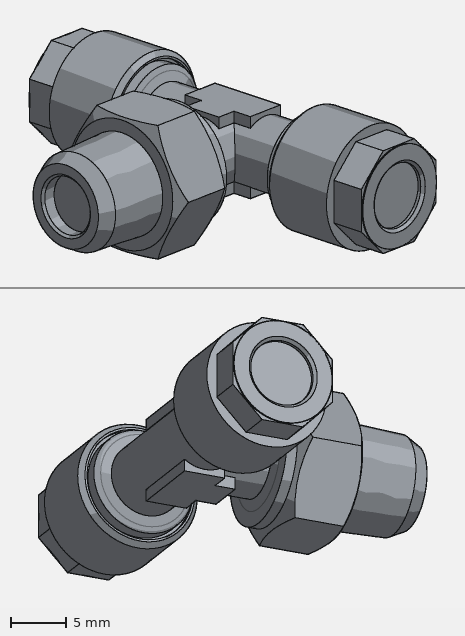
import cadquery as cq
import math

shoulder_angle = math.radians(15)

half_length = 20.6
pipe_radius = 3.5
nut_body_radius = 6.0
nut_body_inner_x = 9.6
nut_body_outer_x = 17.1
nut_body_chamfer = 0.5
nut_recess_radius = 5.3
nut_recess_depth = 0.5
nut_recess_floor_x = nut_body_inner_x + nut_recess_depth
collar_radius = 5.0
collar_inner_x = 8.3
collar_rounding = 1.2
collar_edge_angle = math.radians(45)
octagon_sides = 8
octagon_flats = 10.0
end_disc_radius = 4.95
end_disc_thickness = 0.12
tube_bore_radius = 3.15
tube_bore_depth = 0.6
tube_bore_chamfer = 0.3

pad_half_length = 4.05
pad_half_width = 2.0
pad_height = 4.0

stud_tip_y = -22.37
flange_radius = nut_body_radius
flange_face_y = -7.35
flange_shoulder_radius = 4.57
hexagon_sides = 6
hexagon_flats = 13.0
hexagon_back_y = -8.35
hexagon_front_y = -14.85
hexagon_front_circle_radius = 6.25
hexagon_chamfer_slope = math.tan(math.radians(30))
stud_root_radius = 5.03
stud_end_radius = 4.78
stud_tip_radius = 4.05
stud_chamfer_length = 1.5
stud_bore_radius = 2.8
stud_bore_depth = 1.5
stud_bore_chamfer = 0.25


def corner_diameter(flats, sides):
    """Across-corners size of a regular polygon with an even number of sides."""
    return flats / math.cos(math.pi / sides)


def turned_along_x(profile):
    """Solid of revolution about X from (x, radius) points."""
    return cq.Workplane("XY").polyline(profile).close().revolve(360, (0, 0), (1, 0))


def turned_along_y(profile):
    """Solid of revolution about Y from (radius, y) points."""
    return cq.Workplane("XY").polyline(profile).close().revolve(360, (0, 0), (0, 1))


def run_pipe():
    """Straight pipe joining the two collars."""
    return cq.Workplane("YZ").circle(pipe_radius).extrude(collar_inner_x, both=True)


def collar():
    """Collar on the +X end of the pipe: shallow cone, rounded edge, then a cylinder."""
    rounding_center_radius = collar_radius - collar_rounding * math.sin(collar_edge_angle)
    cone_end_radius = rounding_center_radius + collar_rounding * math.sin(shoulder_angle)
    cone_end_x = collar_inner_x + (cone_end_radius - pipe_radius) * math.tan(shoulder_angle)
    rounding_center_x = cone_end_x + collar_rounding * math.cos(shoulder_angle)

    def on_rounding(angle):
        return (
            rounding_center_x - collar_rounding * math.cos(angle),
            rounding_center_radius + collar_rounding * math.sin(angle),
        )

    middle_angle = (shoulder_angle + collar_edge_angle) / 2
    return (
        cq.Workplane("XY")
        .moveTo(collar_inner_x, 0)
        .lineTo(collar_inner_x, pipe_radius)
        .lineTo(cone_end_x, cone_end_radius)
        .threePointArc(on_rounding(middle_angle), on_rounding(collar_edge_angle))
        .lineTo(nut_recess_floor_x, collar_radius)
        .lineTo(nut_recess_floor_x, 0)
        .close()
        .revolve(360, (0, 0), (1, 0))
    )


def union_nut():
    """Nut on the +X end: chamfered body recessed around the collar, octagon, end disc and tube bore."""
    octagon_end_x = half_length - end_disc_thickness
    turned = turned_along_x([
        (nut_recess_floor_x, 0),
        (nut_recess_floor_x, nut_recess_radius),
        (nut_body_inner_x, nut_recess_radius),
        (nut_body_inner_x, nut_body_radius - nut_body_chamfer),
        (nut_body_inner_x + nut_body_chamfer, nut_body_radius),
        (nut_body_outer_x, nut_body_radius),
        (nut_body_outer_x, end_disc_radius),
        (half_length, end_disc_radius),
        (half_length, 0),
    ])
    octagon = (
        cq.Workplane("YZ", origin=(nut_body_outer_x, 0, 0))
        .transformed(rotate=(0, 0, 180 / octagon_sides))
        .polygon(octagon_sides, corner_diameter(octagon_flats, octagon_sides))
        .extrude(octagon_end_x - nut_body_outer_x)
    )
    bore = turned_along_x([
        (half_length - tube_bore_depth, 0),
        (half_length - tube_bore_depth, tube_bore_radius),
        (half_length - tube_bore_chamfer, tube_bore_radius),
        (half_length, tube_bore_radius + tube_bore_chamfer),
        (half_length, 0),
    ])
    return turned.union(octagon).cut(bore)


def t_pads():
    """T-shaped block whose flat faces form the upper and lower pads."""
    crossbar = cq.Workplane("XY").box(2 * pad_half_length, 2 * pad_half_width, 2 * pad_height)
    stem = (
        cq.Workplane("XY")
        .center(0, -pad_half_length / 2)
        .box(2 * pad_half_width, pad_half_length, 2 * pad_height)
    )
    return crossbar.union(stem)


def branch_hexagon():
    """Hexagon with both ends chamfered by 30 degree cones."""
    corners = corner_diameter(hexagon_flats, hexagon_sides)
    corner_radius = corners / 2
    back_chamfer = (corner_radius - flange_radius) * hexagon_chamfer_slope
    front_chamfer = (corner_radius - hexagon_front_circle_radius) * hexagon_chamfer_slope
    prism = (
        cq.Workplane("XZ", origin=(0, hexagon_back_y, 0))
        .polygon(hexagon_sides, corners)
        .extrude(hexagon_back_y - hexagon_front_y)
    )
    envelope = turned_along_y([
        (0, hexagon_back_y),
        (flange_radius, hexagon_back_y),
        (corner_radius, hexagon_back_y - back_chamfer),
        (corner_radius, hexagon_front_y + front_chamfer),
        (hexagon_front_circle_radius, hexagon_front_y),
        (0, hexagon_front_y),
    ])
    return prism.intersect(envelope)


def branch():
    """Branch pipe, flange, hexagon and tapered stud with its bore."""
    flange_neck_y = flange_face_y + (flange_shoulder_radius - pipe_radius) * math.tan(shoulder_angle)
    turned = turned_along_y([
        (0, 0),
        (pipe_radius, 0),
        (pipe_radius, flange_neck_y),
        (flange_shoulder_radius, flange_face_y),
        (flange_radius, flange_face_y),
        (flange_radius, hexagon_back_y),
        (stud_root_radius, hexagon_front_y),
        (stud_end_radius, stud_tip_y + stud_chamfer_length),
        (stud_tip_radius, stud_tip_y),
        (0, stud_tip_y),
    ])
    bore = turned_along_y([
        (0, stud_tip_y + stud_bore_depth),
        (stud_bore_radius, stud_tip_y + stud_bore_depth),
        (stud_bore_radius, stud_tip_y + stud_bore_chamfer),
        (stud_bore_radius + stud_bore_chamfer, stud_tip_y),
        (0, stud_tip_y),
    ])
    return turned.union(branch_hexagon()).cut(bore)


positive_end = collar().union(union_nut())
negative_end = positive_end.mirror("YZ")
run = run_pipe().union(positive_end).union(negative_end)
result = run.union(branch()).union(t_pads())